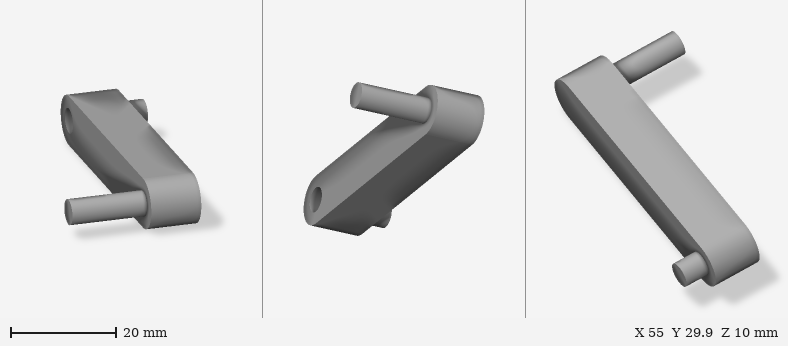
import cadquery as cq

length = 55.0
arm_width = 10.0
arm_thickness = 10.0
pin_diameter = 5.0
front_pin_length = 14.95
rear_pin_length = 5.0
socket_depth = 5.0

pin_x = (length - arm_width) / 2


def rod(x, y_start, rod_length):
    """Round rod parallel to Y, starting at y_start and running toward +Y."""
    return (
        cq.Workplane("XZ", origin=(x, y_start, 0))
        .circle(pin_diameter / 2)
        .extrude(-rod_length)
    )


arm = cq.Workplane("XZ").slot2D(length, arm_width).extrude(-arm_thickness)

front_pin = rod(pin_x, -front_pin_length, front_pin_length)
rear_pin = rod(-pin_x, arm_thickness, rear_pin_length)

socket = rod(-pin_x, 0, socket_depth)

result = arm.union(front_pin).union(rear_pin).cut(socket)